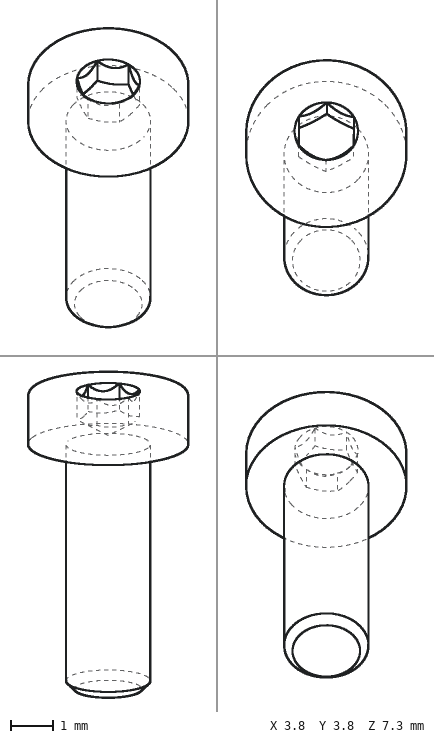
import cadquery as cq
import math

HEAD_DIAMETER = 3.8
HEAD_HEIGHT = 1.3
HEAD_FILLET = 0.13

SHANK_DIAMETER = 2.0
SHANK_LENGTH = 6.0
TIP_CHAMFER = 0.2

SOCKET_ACROSS_FLATS = 1.3
SOCKET_DEPTH = 0.65
LEAD_IN_CONE_ANGLE = 60.0
FLOOR_CONE_ANGLE = 120.0

HEXAGON_SIDES = 6
socket_corner_radius = SOCKET_ACROSS_FLATS / 2 / math.cos(math.pi / HEXAGON_SIDES)


def cone_slope(included_angle):
    """Axial rise of a cone per unit of radius."""
    return 1 / math.tan(math.radians(included_angle / 2))


def revolve_profile(points):
    """Solid of revolution about Z from (radius, z) points."""
    return cq.Workplane("XZ").polyline(points).close().revolve(360, (0, 0), (0, 1))


def make_head():
    head = cq.Workplane("XY").circle(HEAD_DIAMETER / 2).extrude(HEAD_HEIGHT)
    return head.faces(">Z").edges().fillet(HEAD_FILLET)


def make_shank():
    shank = cq.Workplane("XY").circle(SHANK_DIAMETER / 2).extrude(-SHANK_LENGTH)
    return shank.faces("<Z").edges().chamfer(TIP_CHAMFER)


def make_hexagon_recess():
    """Hexagonal prism with corners on the Y axis, ending below in the drill-point cone."""
    floor_slope = cone_slope(FLOOR_CONE_ANGLE)
    apex_z = HEAD_HEIGHT - SOCKET_DEPTH - socket_corner_radius * floor_slope
    prism = (
        cq.Workplane("XY", origin=(0, 0, apex_z))
        .transformed(rotate=(0, 0, 90))
        .polygon(HEXAGON_SIDES, 2 * socket_corner_radius)
        .extrude(HEAD_HEIGHT - apex_z)
    )
    envelope_radius = 2 * socket_corner_radius
    envelope = revolve_profile([
        (0, apex_z),
        (envelope_radius, apex_z + envelope_radius * floor_slope),
        (envelope_radius, HEAD_HEIGHT),
        (0, HEAD_HEIGHT),
    ])
    return prism.intersect(envelope)


def make_lead_in():
    """Conical mouth through the hexagon corners, ending inside the recess above its floor."""
    bottom_radius = socket_corner_radius - SOCKET_DEPTH / cone_slope(LEAD_IN_CONE_ANGLE)
    bottom_z = HEAD_HEIGHT - SOCKET_DEPTH
    return revolve_profile([
        (0, bottom_z),
        (bottom_radius, bottom_z),
        (socket_corner_radius, HEAD_HEIGHT),
        (0, HEAD_HEIGHT),
    ])


screw = make_head().union(make_shank())
result = screw.cut(make_hexagon_recess()).cut(make_lead_in())